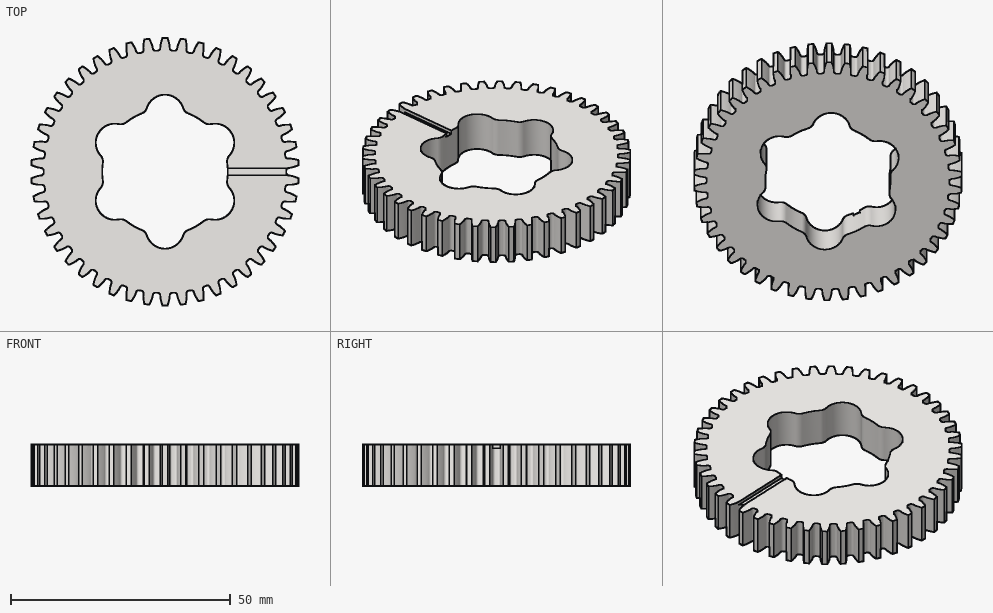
import cadquery as cq
import math

teeth = 46
outer_diameter = 60.95
thickness = 9.5
pressure_angle = math.radians(14.5)
module = outer_diameter / (teeth + 2)
dedendum = 1.25 * module
root_fillet = 0.6
tooth_thinning = 0.05
flank_points = 6

tip_radius = outer_diameter / 2
pitch_radius = tip_radius - module
root_radius = pitch_radius - dedendum
base_radius = pitch_radius * math.cos(pressure_angle)
pitch_angle = 2 * math.pi / teeth
first_tooth_angle = math.pi / 2

bore_radius = 14.25
lobe_count = 6
lobe_radius = 4.3
lobe_center_radius = 13.15
lobe_blend = 2.0
first_lobe_degrees = 30

groove_width = 1.65
groove_depth = 0.9


def polar(radius, angle):
    return (radius * math.cos(angle), radius * math.sin(angle))


def half_tooth_angle(radius):
    """Angle from the tooth centreline to its involute flank at the given radius."""
    roll = math.acos(base_radius / radius)
    involute = math.tan(roll) - roll
    pitch_involute = math.tan(pressure_angle) - pressure_angle
    half_pitch_tooth = pitch_angle / 4 - tooth_thinning / (2 * pitch_radius)
    return half_pitch_tooth + pitch_involute - involute


def flank(center_angle, side):
    """Involute points from base circle to tip; side is -1 for the clockwise flank, 1 for the other."""
    step = (tip_radius - base_radius) / (flank_points - 1)
    radii = [base_radius + i * step for i in range(flank_points)]
    return [polar(r, center_angle + side * half_tooth_angle(r)) for r in radii]


def is_root_edge(edge):
    center = edge.Center()
    return math.hypot(center.x, center.y) < (root_radius + base_radius) / 2


def gear_blank():
    """Toothed disc: involute flanks, radial below the base circle, with rounded roots."""
    foot_angle = half_tooth_angle(base_radius)
    outline = cq.Workplane("XY").moveTo(*polar(root_radius, first_tooth_angle - foot_angle))
    for i in range(teeth):
        center = first_tooth_angle + i * pitch_angle
        rising = flank(center, -1)
        falling = flank(center, 1)[::-1]
        gap_center = center + pitch_angle / 2
        next_foot = center + pitch_angle - foot_angle
        outline = (
            outline.lineTo(*rising[0])
            .spline(rising[1:], includeCurrent=True)
            .threePointArc(polar(tip_radius, center), falling[0])
            .spline(falling[1:], includeCurrent=True)
            .lineTo(*polar(root_radius, center + foot_angle))
            .threePointArc(polar(root_radius, gap_center), polar(root_radius, next_foot))
        )
    blank = outline.close().extrude(thickness)
    return blank.edges("|Z").filter(is_root_edge).fillet(root_fillet)


def bore_cutter():
    """Round bore with evenly spaced lobes, blended where bore and lobes meet."""
    lobes = (
        cq.Workplane("XY")
        .polarArray(lobe_center_radius, first_lobe_degrees, 360, lobe_count)
        .circle(lobe_radius)
        .extrude(thickness)
    )
    bore = cq.Workplane("XY").circle(bore_radius).extrude(thickness).union(lobes)
    return bore.edges("|Z").fillet(lobe_blend)


def groove_cutter():
    return (
        cq.Workplane("XY")
        .box(tip_radius, groove_width, groove_depth, centered=(False, True, False))
        .translate((0, 0, thickness - groove_depth))
    )


result = gear_blank().cut(bore_cutter()).cut(groove_cutter())